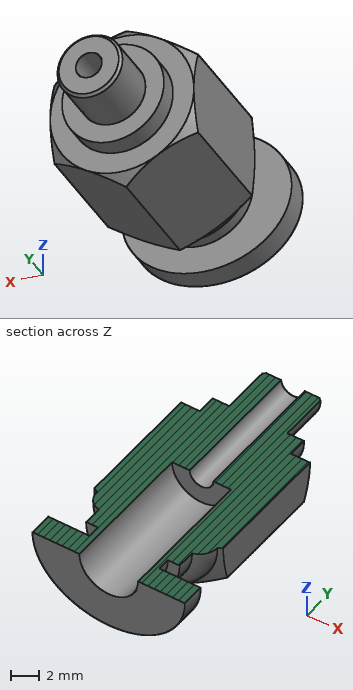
import cadquery as cq
import math


flange_length = 2.0
neck_length = 1.0
sleeve_length = 1.5
shoulder_length = 1.5
hex_length = 11.0
collar_length = 1.6
stud_length = 4.28

flange_width = 13.0
flange_height = 11.0
neck_diameter = 6.0
sleeve_diameter = 8.0
shoulder_diameter = 10.3
hex_across_corners = 12.7
collar_diameter = 7.8
stud_diameter = 5.0
stud_chamfer = 0.2

front_chamfer_angle = 30.0
rear_chamfer_length = 0.75

tube_diameter = 5.0
through_diameter = 2.0

neck_start = flange_length
sleeve_start = neck_start + neck_length
shoulder_start = sleeve_start + sleeve_length
hex_start = shoulder_start + shoulder_length
hex_end = hex_start + hex_length
collar_end = hex_end + collar_length
total_length = collar_end + stud_length
tube_stop = hex_start + hex_length / 2

hex_across_flats = hex_across_corners * math.cos(math.radians(30))


def section_at(y):
    """Sketch plane across the axis; extrusions from it run toward +Y."""
    return cq.Workplane(cq.Plane(origin=(0, y, 0), xDir=(-1, 0, 0), normal=(0, 1, 0)))


def cylinder(start, length, diameter):
    return section_at(start).circle(diameter / 2).extrude(length)


def rounded_shoulder():
    """Disc whose rim is a quarter round over its whole length."""
    rim_radius = shoulder_diameter / 2
    face_radius = rim_radius - shoulder_length
    quarter_offset = shoulder_length * math.sin(math.radians(45))
    return (
        cq.Workplane("XY")
        .moveTo(0, hex_start)
        .lineTo(rim_radius, hex_start)
        .threePointArc(
            (face_radius + quarter_offset, hex_start - quarter_offset),
            (face_radius, shoulder_start),
        )
        .lineTo(0, shoulder_start)
        .close()
        .revolve(360, (0, 0, 0), (0, 1, 0))
    )


def chamfered_hexagon():
    """Hexagon with corners toward +Z and -Z, trimmed by a cone at each end."""
    corner_radius = hex_across_corners / 2
    front_radius = shoulder_diameter / 2
    rear_radius = hex_across_flats / 2
    front_chamfer_length = (corner_radius - front_radius) * math.tan(math.radians(front_chamfer_angle))
    prism = (
        section_at(hex_start)
        .transformed(rotate=(0, 0, 90))
        .polygon(6, hex_across_corners)
        .extrude(hex_length)
    )
    turned_envelope = (
        cq.Workplane("XY")
        .polyline([
            (0, hex_start),
            (front_radius, hex_start),
            (corner_radius, hex_start + front_chamfer_length),
            (corner_radius, hex_end - rear_chamfer_length),
            (rear_radius, hex_end),
            (0, hex_end),
        ])
        .close()
        .revolve(360, (0, 0, 0), (0, 1, 0))
    )
    return prism.intersect(turned_envelope)


flange = section_at(0).ellipse(flange_width / 2, flange_height / 2).extrude(flange_length)
neck = cylinder(neck_start, neck_length, neck_diameter)
sleeve = cylinder(sleeve_start, sleeve_length + shoulder_length, sleeve_diameter)

collar = cylinder(hex_end, collar_length, collar_diameter)
stud = cylinder(collar_end, stud_length, stud_diameter)
stud = stud.faces(">Y").edges().chamfer(stud_chamfer)

tube_bore = cylinder(0, tube_stop, tube_diameter)
through_bore = cylinder(0, total_length, through_diameter)

result = flange
for section in (neck, sleeve, rounded_shoulder(), chamfered_hexagon(), collar, stud):
    result = result.union(section)
result = result.cut(tube_bore).cut(through_bore)